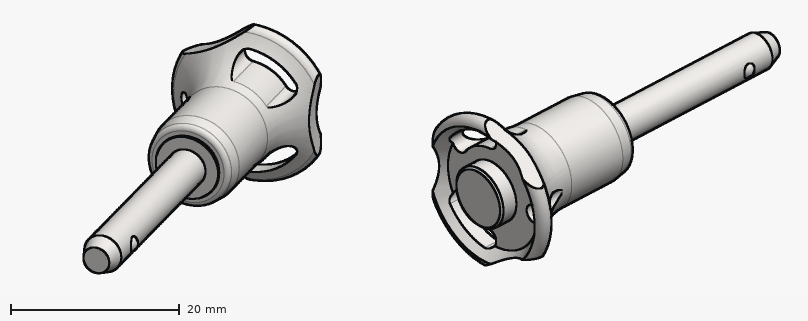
import cadquery as cq
import math

LENGTH = 48.0

BUTTON_RADIUS = 4.05
BUTTON_CHAMFER = 0.3

HEAD_RADIUS = 10.2
RIM_RADIUS = 1.175
RIM_BACK_DEPTH = 0.62
DISH_FLOOR_DEPTH = 2.4
DISH_SLOPE = math.radians(53)

BARREL_RADIUS = 5.6
FLARE_END_DEPTH = 10.0
TAPER_START_DEPTH = 18.4
TAPER_END_DEPTH = 20.0
TAPER_END_RADIUS = 5.35
NOSE_FILLET = 0.65
COLLAR_RADIUS = 4.05
COLLAR_DEPTH = 21.05

SHANK_RADIUS = 2.4
TIP_RADIUS = 1.7
TIP_LENGTH = 1.9
BALL_RADIUS = 1.05
BALL_REACH = 2.85
BALL_DEPTH = 42.3

LOBE_COUNT = 3
SCALLOP_MIDDLE = 8.3
SCALLOP_CORNER = 8.7

OPENING_CIRCLE = 6.95
OPENING_WIDTH = 2.35
SLOT_HALF_ANGLE = 25
SLOT_LOBE_ANGLES = (60, 300)
HOLE_LOBE_ANGLE = 180


def polar(radius, degrees):
    """Point in the XZ plane, with the angle measured from +X towards +Z."""
    angle = math.radians(degrees)
    return radius * math.cos(angle), radius * math.sin(angle)


def through_head(sketch):
    """Extrude an XZ sketch from the button face to the end of the barrel."""
    return sketch.extrude(COLLAR_DEPTH)


def make_pin():
    """Revolve the head, barrel and shank as one profile of (radius, -depth)."""
    rim_center = HEAD_RADIUS - RIM_RADIUS
    rim_depth = RIM_BACK_DEPTH + RIM_RADIUS

    step = BARREL_RADIUS - rim_center
    run = FLARE_END_DEPTH - rim_depth
    flare_radius = (step**2 + run**2 - RIM_RADIUS**2) / (2 * (RIM_RADIUS - step))
    flare_center = BARREL_RADIUS + flare_radius
    tangent_angle = math.atan2(run, flare_center - rim_center)
    tangent = (
        rim_center + RIM_RADIUS * math.cos(tangent_angle),
        -rim_depth - RIM_RADIUS * math.sin(tangent_angle),
    )
    half_angle = tangent_angle / 2
    flare_middle = (
        flare_center - flare_radius * math.cos(half_angle),
        -FLARE_END_DEPTH + flare_radius * math.sin(half_angle),
    )

    dish_drop = DISH_FLOOR_DEPTH - RIM_BACK_DEPTH
    dish_floor_radius = rim_center - dish_drop / math.tan(DISH_SLOPE)
    fillet_diagonal = NOSE_FILLET * math.sqrt(0.5)
    fillet_center = TAPER_END_RADIUS - NOSE_FILLET

    profile = (
        cq.Workplane("XY")
        .moveTo(0, 0)
        .lineTo(BUTTON_RADIUS - BUTTON_CHAMFER, 0)
        .lineTo(BUTTON_RADIUS, -BUTTON_CHAMFER)
        .lineTo(BUTTON_RADIUS, -DISH_FLOOR_DEPTH)
        .lineTo(dish_floor_radius, -DISH_FLOOR_DEPTH)
        .lineTo(rim_center, -RIM_BACK_DEPTH)
        .threePointArc((HEAD_RADIUS, -rim_depth), tangent)
        .threePointArc(flare_middle, (BARREL_RADIUS, -FLARE_END_DEPTH))
        .lineTo(BARREL_RADIUS, -TAPER_START_DEPTH)
        .lineTo(TAPER_END_RADIUS, -TAPER_END_DEPTH)
        .threePointArc(
            (fillet_center + fillet_diagonal, -TAPER_END_DEPTH - fillet_diagonal),
            (fillet_center, -TAPER_END_DEPTH - NOSE_FILLET),
        )
        .lineTo(COLLAR_RADIUS, -TAPER_END_DEPTH - NOSE_FILLET)
        .lineTo(COLLAR_RADIUS, -COLLAR_DEPTH)
        .lineTo(SHANK_RADIUS, -COLLAR_DEPTH)
        .lineTo(SHANK_RADIUS, -LENGTH + TIP_LENGTH)
        .lineTo(TIP_RADIUS, -LENGTH)
        .lineTo(0, -LENGTH)
        .close()
    )
    return profile.revolve(360, (0, 0, 0), (0, 1, 0))


def make_scallops():
    """Cylinders parallel to the axis that hollow the rim between the lobes."""
    half_chord = math.sqrt(HEAD_RADIUS**2 - SCALLOP_CORNER**2)
    rise = SCALLOP_CORNER - SCALLOP_MIDDLE
    radius = (half_chord**2 + rise**2) / (2 * rise)
    centers = [polar(SCALLOP_MIDDLE + radius, i * 360 / LOBE_COUNT) for i in range(LOBE_COUNT)]
    return [through_head(cq.Workplane("XZ").center(x, z).circle(radius)) for x, z in centers]


def make_slot(middle_angle):
    """Curved slot with round ends, following the opening circle."""
    inner = OPENING_CIRCLE - OPENING_WIDTH / 2
    outer = OPENING_CIRCLE + OPENING_WIDTH / 2
    start = middle_angle - SLOT_HALF_ANGLE
    end = middle_angle + SLOT_HALF_ANGLE
    cap = math.degrees(2 * math.asin(OPENING_WIDTH / (4 * OPENING_CIRCLE)))
    sketch = (
        cq.Workplane("XZ")
        .moveTo(*polar(inner, start))
        .threePointArc(polar(inner, middle_angle), polar(inner, end))
        .threePointArc(polar(OPENING_CIRCLE, end + cap), polar(outer, end))
        .threePointArc(polar(outer, middle_angle), polar(outer, start))
        .threePointArc(polar(OPENING_CIRCLE, start - cap), polar(inner, start))
        .close()
    )
    return through_head(sketch)


def make_hole():
    """Round lanyard hole through the third lobe."""
    x, z = polar(OPENING_CIRCLE, HOLE_LOBE_ANGLE)
    return through_head(cq.Workplane("XZ").center(x, z).circle(OPENING_WIDTH / 2))


def make_ball(side):
    """Locking ball standing out of the shank on the +X or -X side."""
    x = side * (BALL_REACH - BALL_RADIUS)
    return cq.Workplane("XY").sphere(BALL_RADIUS).translate((x, -BALL_DEPTH, 0))


result = make_pin()
for scallop in make_scallops():
    result = result.cut(scallop)
for lobe_angle in SLOT_LOBE_ANGLES:
    result = result.cut(make_slot(lobe_angle))
result = result.cut(make_hole())
for ball_side in (-1, 1):
    result = result.union(make_ball(ball_side))